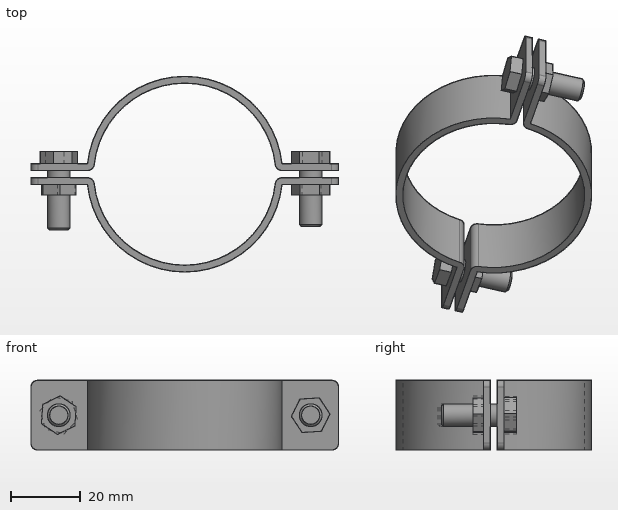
import cadquery as cq
import math


thickness = 2.0
outer_radius = 28.0
inner_radius = outer_radius - thickness
band_height = 20.0
ear_gap = 2.0
overall_width = 88.04
ear_tip_x = overall_width / 2
ear_corner_radius = 2.0
ear_inner_y = ear_gap / 2
ear_outer_y = ear_inner_y + thickness

bolt_to_ear_tip = 8.0
bolt_x = ear_tip_x - bolt_to_ear_tip
shank_diameter = 6.5
hex_corner_diameter = 11.05
head_height = 3.5
nut_height = 3.0
head_top_y = ear_outer_y + head_height
tip_chamfer = 0.65

left_tip_y = -16.0
left_head_angle = 46.0
left_nut_angle = 86.0

right_tip_y = -15.0
right_head_angle = 5.0
right_nut_angle = 3.0


def half_band():
    """Half ring on the +Y side with a flat ear at each end."""
    bend_angle = math.asin(ear_outer_y / outer_radius)
    bend_x = outer_radius * math.cos(bend_angle)
    bend_end_x = inner_radius * math.cos(bend_angle)
    bend_end_y = inner_radius * math.sin(bend_angle)
    mid_direction = (math.radians(270) + math.radians(180) + bend_angle) / 2
    bend_mid_x = bend_x + thickness * math.cos(mid_direction)
    bend_mid_y = ear_outer_y + thickness * math.sin(mid_direction)

    band = (
        cq.Workplane("XY")
        .workplane(offset=-band_height / 2)
        .moveTo(ear_tip_x, ear_inner_y)
        .lineTo(ear_tip_x, ear_outer_y)
        .lineTo(bend_x, ear_outer_y)
        .threePointArc((0, outer_radius), (-bend_x, ear_outer_y))
        .lineTo(-ear_tip_x, ear_outer_y)
        .lineTo(-ear_tip_x, ear_inner_y)
        .lineTo(-bend_x, ear_inner_y)
        .threePointArc((-bend_mid_x, bend_mid_y), (-bend_end_x, bend_end_y))
        .threePointArc((0, inner_radius), (bend_end_x, bend_end_y))
        .threePointArc((bend_mid_x, bend_mid_y), (bend_x, ear_inner_y))
        .close()
        .extrude(band_height)
    )
    return band.edges("|Y and (<X or >X)").fillet(ear_corner_radius)


def hex_prism(x, start_y, height, angle):
    """Hexagon extruded toward -Y, with a corner turned by angle from +X toward +Z."""
    return (
        cq.Workplane("XZ", origin=(x, start_y, 0))
        .transformed(rotate=(0, 0, angle))
        .polygon(6, hex_corner_diameter)
        .extrude(height)
    )


def bolt_with_nut(x, tip_y, head_angle, nut_angle):
    """Hex bolt pointing toward -Y with its nut seated on the front ear."""
    shank_radius = shank_diameter / 2
    shank = (
        cq.Workplane("XY")
        .moveTo(0, ear_outer_y)
        .lineTo(shank_radius, ear_outer_y)
        .lineTo(shank_radius, tip_y + tip_chamfer)
        .lineTo(shank_radius - tip_chamfer, tip_y)
        .lineTo(0, tip_y)
        .close()
        .revolve(360, (0, 0, 0), (0, 1, 0))
        .translate((x, 0, 0))
    )
    head = hex_prism(x, head_top_y, head_height, head_angle)
    nut = hex_prism(x, -ear_outer_y, nut_height, nut_angle)
    return shank.union(head).union(nut)


back_band = half_band()
front_band = back_band.mirror("XZ")
left_bolt = bolt_with_nut(-bolt_x, left_tip_y, left_head_angle, left_nut_angle)
right_bolt = bolt_with_nut(bolt_x, right_tip_y, right_head_angle, right_nut_angle)

result = back_band.union(left_bolt).union(right_bolt).union(front_band)